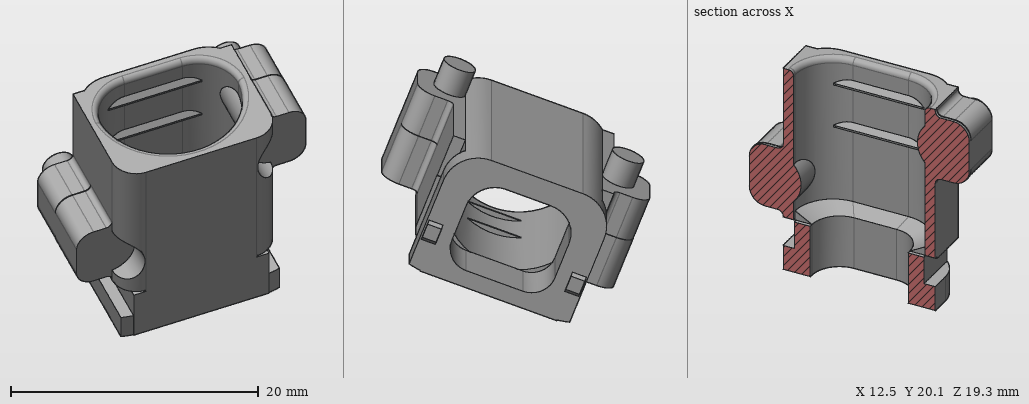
import cadquery as cq
import math

LENGTH_X = 10.95
HALF_WIDTH = 6.95
HEIGHT = 19.0
FRONT_RADIUS = 3.0
BACK_RADIUS = 2.11
FOOT_BACK_RADIUS = 8.05
FOOT_BACK_START = 4.92
FOOT_HEIGHT = 2.3
WAIST_HALF_WIDTH = 5.93
WAIST_TOP = 4.78
LUG_FRONT = 0.75
LUG_BACK = LENGTH_X - BACK_RADIUS

STEP_X = 4.42
SLOT_TOP = 4.92

WALL_X = 0.96
CAVITY_CENTER_X = 4.02
CAVITY_RADIUS = 6.0
CAVITY_BACK = CAVITY_CENTER_X + CAVITY_RADIUS
CAVITY_HALF_WIDTH = math.sqrt(CAVITY_RADIUS**2 - (STEP_X - CAVITY_CENTER_X) ** 2)
CAVITY_CORNER_RADIUS = STEP_X - WALL_X
MOUTH_RADIUS = 0.5

OPENING_FRONT = 1.9
OPENING_BACK = 9.57
OPENING_HALF_WIDTH = 4.46
OPENING_FRONT_RADIUS = STEP_X - OPENING_FRONT
OPENING_BACK_RADIUS = 2.0
FUNNEL_TOP = WAIST_TOP + 0.86

RIDGE_FRONT_EDGE = 1.35
RIDGE_BACK_EDGE = OPENING_BACK
RIDGE_HEIGHTS = (16.56, 12.6)
RIDGE_SLOPE = 1.3
RIDGE_LIP = 0.16

LUGS = ((-1, 8.42), (1, 15.42))
LUG_OUTER = 10.05
LUG_AXIS_Y = 7.3
LUG_HALF_HEIGHT = 2.91
LUG_STEP = 0.07
LUG_CORNER_RADIUS = 1.49
LUG_ROOT_RADIUS = 0.5
PIN_RADIUS = 1.37
PIN_END = -1.55
RELIEF_RADIUS = 2.35
BOSS_RADIUS = 2.5
BOSS_INNER = 5.29

PAD_X = 7.48
PAD_HALF_LENGTH = 0.88
PAD_FLAT_HALF_LENGTH = 0.6
PAD_HEIGHT = 0.26
PAD_INNER = 5.6
PAD_WIDTH = 1.2


def block(x0, x1, half_width, z0, z1):
    """Box symmetric about the middle plane."""
    size = (x1 - x0, 2 * half_width, z1 - z0)
    return cq.Workplane("XY").box(*size, centered=(False, True, False)).translate((x0, 0, z0))


def x_cylinder(radius, x0, x1, y, z):
    """Cylinder along X between x0 and x1."""
    return cq.Workplane("YZ", origin=(x0, y, z)).circle(radius).extrude(x1 - x0)


def rounded_front(solid):
    """Round the vertical corners on the -X side of the housing."""
    return solid.edges("|Z and <X").fillet(FRONT_RADIUS)


def foot():
    """Foot plate with shallow arcs towards the +X face."""
    drop = HALF_WIDTH - FOOT_BACK_START
    center_x = LENGTH_X - FOOT_BACK_RADIUS
    corner_x = center_x + math.sqrt(FOOT_BACK_RADIUS**2 - drop**2)
    half_angle = math.asin(drop / FOOT_BACK_RADIUS) / 2
    mid_x = center_x + FOOT_BACK_RADIUS * math.cos(half_angle)
    mid_y = FOOT_BACK_START + FOOT_BACK_RADIUS * math.sin(half_angle)
    outline = (
        cq.Workplane("XY")
        .moveTo(0, -HALF_WIDTH)
        .lineTo(corner_x, -HALF_WIDTH)
        .threePointArc((mid_x, -mid_y), (LENGTH_X, -FOOT_BACK_START))
        .lineTo(LENGTH_X, FOOT_BACK_START)
        .threePointArc((mid_x, mid_y), (corner_x, HALF_WIDTH))
        .lineTo(0, HALF_WIDTH)
        .close()
    )
    return rounded_front(outline.extrude(FOOT_HEIGHT))


def waist_and_nose():
    """Narrow base between foot and slot, with the nose that carries the upper block."""
    base = block(0, LENGTH_X, HALF_WIDTH, 0, WAIST_TOP)
    nose = block(0, STEP_X, HALF_WIDTH, 0, HEIGHT)
    solid = rounded_front(base.union(nose))
    return solid.intersect(block(0, LENGTH_X, WAIST_HALF_WIDTH, 0, HEIGHT))


def upper_block():
    flanks = block(LUG_FRONT, LENGTH_X, HALF_WIDTH, WAIST_TOP, HEIGHT)
    return flanks.edges("|Z and >X").fillet(BACK_RADIUS)


def lug_half(side, axis_z, half_height, x0, x1):
    """Stretch of a lug along X, with concave roots where it meets the flank."""
    root_y = HALF_WIDTH + LUG_ROOT_RADIUS
    root_half_height = half_height + LUG_ROOT_RADIUS
    lug = block(x0, x1, LUG_OUTER, axis_z - half_height, axis_z + half_height)
    lug = lug.edges("|X and >Y").fillet(LUG_CORNER_RADIUS)
    lug = lug.union(block(x0, x1, root_y, axis_z - root_half_height, axis_z + root_half_height))
    for end in (-1, 1):
        lug = lug.cut(x_cylinder(LUG_ROOT_RADIUS, x0, x1, root_y, axis_z + end * root_half_height))
    lug = lug.cut(block(x0, x1, WAIST_HALF_WIDTH, 0, HEIGHT))
    lug = lug.intersect(cq.Workplane("XY").box(LENGTH_X, LUG_OUTER, HEIGHT, centered=False))
    return lug if side > 0 else lug.mirror("XZ")


def cavity_section(z0, z1):
    """Cavity between two heights: rounded corners in front, one wide arc behind."""
    straight = CAVITY_HALF_WIDTH - CAVITY_CORNER_RADIUS
    diagonal = CAVITY_CORNER_RADIUS * math.sqrt(0.5)
    outline = (
        cq.Workplane("XY", origin=(0, 0, z0))
        .moveTo(WALL_X, -straight)
        .threePointArc((STEP_X - diagonal, -straight - diagonal), (STEP_X, -CAVITY_HALF_WIDTH))
        .threePointArc((CAVITY_BACK, 0), (STEP_X, CAVITY_HALF_WIDTH))
        .threePointArc((STEP_X - diagonal, straight + diagonal), (WALL_X, straight))
        .close()
    )
    return outline.extrude(z1 - z0)


def rounded_section(x0, half_width, radius, z):
    """Rounded rectangle from x0 to the far end of the opening."""
    sketch = cq.Sketch().rect(OPENING_BACK - x0, 2 * half_width).vertices().fillet(radius)
    return sketch.moved(cq.Location(cq.Vector((OPENING_BACK + x0) / 2, 0, z)))


def funnel():
    """Void in front of the slot that narrows from the cavity to the base opening."""
    low = rounded_section(OPENING_FRONT, OPENING_HALF_WIDTH, OPENING_FRONT_RADIUS, WAIST_TOP)
    high = rounded_section(WALL_X, CAVITY_HALF_WIDTH, CAVITY_CORNER_RADIUS, FUNNEL_TOP)
    void = cq.Workplane("XY").placeSketch(low, high).loft()
    return void.intersect(block(0, STEP_X, HALF_WIDTH, WAIST_TOP, FUNNEL_TOP))


def base_opening():
    opening = block(OPENING_FRONT, OPENING_BACK, OPENING_HALF_WIDTH, 0, WAIST_TOP)
    opening = opening.edges("|Z and <X").fillet(OPENING_FRONT_RADIUS)
    return opening.edges("|Z and >X").fillet(OPENING_BACK_RADIUS)


def inner_void():
    """Cavity, funnel and base opening together."""
    beside_funnel = block(STEP_X, LENGTH_X, HALF_WIDTH, WAIST_TOP, FUNNEL_TOP)
    void = cavity_section(FUNNEL_TOP, HEIGHT)
    void = void.union(cavity_section(WAIST_TOP, FUNNEL_TOP).intersect(beside_funnel))
    return void.union(funnel()).union(base_opening())


def slot():
    """Thin gap above the base that leaves a bridge in the +X wall."""
    gap = block(STEP_X, LENGTH_X, HALF_WIDTH, WAIST_TOP, SLOT_TOP)
    return gap.cut(block(CAVITY_BACK, LENGTH_X, FOOT_BACK_START, WAIST_TOP, SLOT_TOP))


def ridge(edge_x, wall_x, edge_z):
    """Bar along Y that slopes from its edge up to the wall, with a flat underside."""
    rise = RIDGE_SLOPE * abs(wall_x - edge_x)
    bottom = edge_z - RIDGE_LIP
    profile = [(edge_x, edge_z), (wall_x, edge_z + rise), (wall_x, bottom), (edge_x, bottom)]
    plane = cq.Workplane("XZ", origin=(0, HALF_WIDTH, 0))
    return plane.polyline(profile).close().extrude(2 * HALF_WIDTH)


def cavity_fillings():
    """Bosses beside the lugs and ridges, all ending at the cavity walls."""
    fillings = cq.Workplane("XY")
    for edge_z in RIDGE_HEIGHTS:
        fillings = fillings.add(ridge(RIDGE_FRONT_EDGE, WALL_X, edge_z))
        fillings = fillings.add(ridge(RIDGE_BACK_EDGE, CAVITY_BACK, edge_z))
    for side, axis_z in LUGS:
        axis_y = side * (BOSS_INNER + BOSS_RADIUS)
        fillings = fillings.add(x_cylinder(BOSS_RADIUS, LUG_FRONT, LUG_BACK, axis_y, axis_z))
    return fillings.combine().intersect(cavity_section(FUNNEL_TOP, HEIGHT - MOUTH_RADIUS))


def pad():
    """Shallow pad with sloped ends, on the +Y side."""
    profile = [
        (PAD_X - PAD_HALF_LENGTH, 0),
        (PAD_X - PAD_FLAT_HALF_LENGTH, -PAD_HEIGHT),
        (PAD_X + PAD_FLAT_HALF_LENGTH, -PAD_HEIGHT),
        (PAD_X + PAD_HALF_LENGTH, 0),
    ]
    plane = cq.Workplane("XZ", origin=(0, PAD_INNER + PAD_WIDTH, 0))
    return plane.polyline(profile).close().extrude(PAD_WIDTH)


result = foot().union(waist_and_nose()).union(upper_block())
for lug_side, lug_z in LUGS:
    front_half_height = LUG_HALF_HEIGHT - LUG_STEP
    result = result.union(lug_half(lug_side, lug_z, front_half_height, LUG_FRONT, STEP_X))
    result = result.union(lug_half(lug_side, lug_z, LUG_HALF_HEIGHT, STEP_X, LUG_BACK))

result = result.cut(inner_void()).cut(slot())
mouth = result.faces(">Z").val().innerWires()
result = result.newObject(mouth).edges().fillet(MOUTH_RADIUS)
result = result.union(cavity_fillings())

for lug_side, lug_z in LUGS:
    lug_y = lug_side * LUG_AXIS_Y
    result = result.cut(x_cylinder(RELIEF_RADIUS, LUG_BACK, LENGTH_X, lug_y, lug_z))
    result = result.union(x_cylinder(PIN_RADIUS, PIN_END, LUG_FRONT, lug_y, lug_z))

result = result.union(pad()).union(pad().mirror("XZ"))